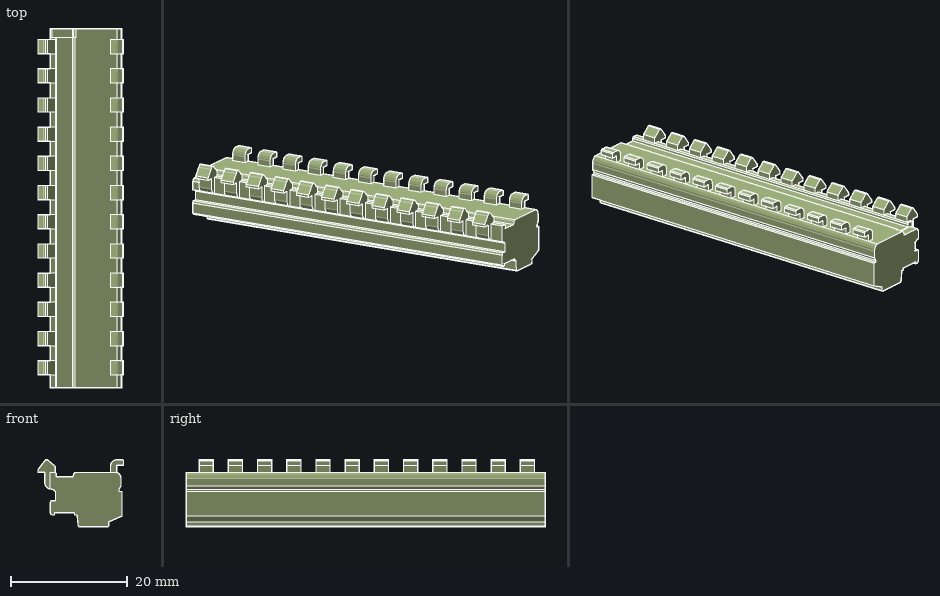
import cadquery as cq

LENGTH = 61.5
TOP = 9.35
HOOK_TOP = 11.5

BODY_RIGHT = 12.35
UPPER_RIGHT = 12.2
NOTCH_X = 11.8
NOTCH_BOTTOM = 6.1
NOTCH_MOUTH = 7.0
NOTCH_SLANT_DROP = 0.6
RIGHT_WALL_BOTTOM = 1.85
CORNER_X = 11.45
CORNER_DROP = 1.1
CORNER_MIDDLE = (11.95, 9.0)
CHANNEL_Z = 8.6
CHANNEL_LEFT = 1.1
CHANNEL_FLOOR_RIGHT = 3.9
CHANNEL_STEP_X = 4.05
CHANNEL_TOP_RIGHT = 4.25
CHANNEL_EDGE_DROP = 0.25
LIP_X = 0.9
GROOVE_X = 0.9
GROOVE_BOTTOM = 4.5
GROOVE_TOP = 6.0
GROOVE_CURVE_MIDDLE = (0.55, 6.35)
GROOVE_BEVEL_WIDTH = 0.2
GROOVE_BEVEL_HEIGHT = 0.35
WALL_BOTTOM = 6.45
RIM_BOTTOM = 2.0
RECESS_Z = 2.4
FOOT_LEFT = 4.8
FOOT_RIGHT = 10.1
FOOT_TOP = 0.85
FOOT_CHAMFER = 0.2
FOOT_DRAFT = 0.2
RECESS_LEFT = 0.8
RECESS_RIGHT = 4.2
RIM_CHAMFER = 0.3

END_LENGTH = 1.5
END_LEDGE_Z = 8.5
END_BEVEL_WIDTH = 0.35
END_BEVEL_HEIGHT = 0.5
END_STEP_X = 4.0
END_STEP_Z = 8.85
END_TOP_LEFT = 4.4

COUNT = 12
CLIP_WIDTH = 2.45
REAR_MARGIN = 1.85
FRONT_MARGIN = 2.2
PITCH = (LENGTH - REAR_MARGIN - FRONT_MARGIN - CLIP_WIDTH) / (COUNT - 1)

TOOTH_LEFT = -2.1
TOOTH_LEFT_TOP = 9.8
TOOTH_RIGHT_TOP = 10.35
TOOTH_BREAK = (-1.1, 11.1)
CREST_LEFT = -0.75
CREST_RIGHT = -0.4
STEM_LEFT = -0.9
STEM_CURVE_Z = 7.5
STEM_CURVE_MIDDLE = (-0.6, 6.8)

HOOK_LEFT = 10.35
HOOK_RIGHT = 12.6
HOOK_INNER_X = 11.45
HOOK_LIP_Z = 10.5
HOOK_RADIUS = 1.1
HOOK_TIP_CHAMFER = 0.2


def extrude_along_y(profile, rear_y, length):
    """Extrude a closed XZ profile from rear_y towards -Y."""
    return profile.close().extrude(length).translate((0, rear_y, 0))


def lower_outline():
    """Outline clockwise from the top right corner, round below, to the top of the left wall groove."""
    return (
        cq.Workplane("XZ")
        .moveTo(CORNER_X, TOP)
        .threePointArc(CORNER_MIDDLE, (UPPER_RIGHT, TOP - CORNER_DROP))
        .lineTo(UPPER_RIGHT, NOTCH_MOUTH)
        .lineTo(NOTCH_X, NOTCH_MOUTH - NOTCH_SLANT_DROP)
        .lineTo(NOTCH_X, NOTCH_BOTTOM)
        .lineTo(BODY_RIGHT, NOTCH_BOTTOM)
        .lineTo(BODY_RIGHT, RIGHT_WALL_BOTTOM)
        .lineTo(FOOT_RIGHT, FOOT_TOP)
        .lineTo(FOOT_RIGHT, FOOT_CHAMFER)
        .lineTo(FOOT_RIGHT - FOOT_CHAMFER, 0)
        .lineTo(FOOT_LEFT + FOOT_CHAMFER, 0)
        .lineTo(FOOT_LEFT, FOOT_CHAMFER)
        .lineTo(FOOT_LEFT - FOOT_DRAFT, RIM_BOTTOM)
        .lineTo(RECESS_RIGHT, RIM_BOTTOM)
        .lineTo(RECESS_RIGHT, RECESS_Z)
        .lineTo(RECESS_LEFT, RECESS_Z)
        .lineTo(RECESS_LEFT, RIM_BOTTOM)
        .lineTo(RIM_CHAMFER, RIM_BOTTOM)
        .lineTo(0, RIM_BOTTOM + RIM_CHAMFER)
        .lineTo(0, GROOVE_BOTTOM - GROOVE_BEVEL_HEIGHT)
        .lineTo(GROOVE_BEVEL_WIDTH, GROOVE_BOTTOM)
        .lineTo(GROOVE_X, GROOVE_BOTTOM)
        .lineTo(GROOVE_X, GROOVE_TOP)
        .threePointArc(GROOVE_CURVE_MIDDLE, (0, WALL_BOTTOM))
    )


def make_body():
    profile = (
        lower_outline()
        .lineTo(0, TOP)
        .lineTo(LIP_X, TOP)
        .lineTo(CHANNEL_LEFT, TOP - CHANNEL_EDGE_DROP)
        .lineTo(CHANNEL_LEFT, CHANNEL_Z)
        .lineTo(CHANNEL_FLOOR_RIGHT, CHANNEL_Z)
        .lineTo(CHANNEL_STEP_X, TOP - CHANNEL_EDGE_DROP)
        .lineTo(CHANNEL_TOP_RIGHT, TOP)
    )
    return extrude_along_y(profile, LENGTH / 2 - END_LENGTH, LENGTH - END_LENGTH)


def make_end():
    profile = (
        lower_outline()
        .lineTo(0, END_LEDGE_Z - END_BEVEL_HEIGHT)
        .lineTo(END_BEVEL_WIDTH, END_LEDGE_Z)
        .lineTo(CHANNEL_FLOOR_RIGHT, END_LEDGE_Z)
        .lineTo(END_STEP_X, END_STEP_Z)
        .lineTo(END_TOP_LEFT, TOP)
    )
    return extrude_along_y(profile, LENGTH / 2, END_LENGTH)


def make_tooth(rear_y):
    profile = (
        cq.Workplane("XZ")
        .moveTo(0, WALL_BOTTOM)
        .threePointArc(STEM_CURVE_MIDDLE, (STEM_LEFT, STEM_CURVE_Z))
        .lineTo(STEM_LEFT, TOP)
        .lineTo(TOOTH_LEFT, TOP)
        .lineTo(TOOTH_LEFT, TOOTH_LEFT_TOP)
        .lineTo(*TOOTH_BREAK)
        .lineTo(CREST_LEFT, HOOK_TOP)
        .lineTo(CREST_RIGHT, HOOK_TOP)
        .lineTo(LIP_X, TOOTH_RIGHT_TOP)
        .lineTo(LIP_X, TOP)
        .lineTo(0, TOP)
    )
    return extrude_along_y(profile, rear_y, CLIP_WIDTH)


def make_hook(rear_y):
    profile = (
        cq.Workplane("XZ")
        .moveTo(HOOK_LEFT, TOP)
        .lineTo(HOOK_LEFT, HOOK_TOP - HOOK_RADIUS)
        .radiusArc((HOOK_LEFT + HOOK_RADIUS, HOOK_TOP), HOOK_RADIUS)
        .lineTo(HOOK_RIGHT - HOOK_TIP_CHAMFER, HOOK_TOP)
        .lineTo(HOOK_RIGHT, HOOK_TOP - HOOK_TIP_CHAMFER)
        .lineTo(HOOK_RIGHT, HOOK_LIP_Z)
        .lineTo(HOOK_INNER_X, HOOK_LIP_Z)
        .lineTo(HOOK_INNER_X, TOP)
    )
    return extrude_along_y(profile, rear_y, CLIP_WIDTH)


result = make_body().union(make_end())
for index in range(COUNT):
    clip_rear_y = LENGTH / 2 - REAR_MARGIN - index * PITCH
    result = result.union(make_tooth(clip_rear_y)).union(make_hook(clip_rear_y))